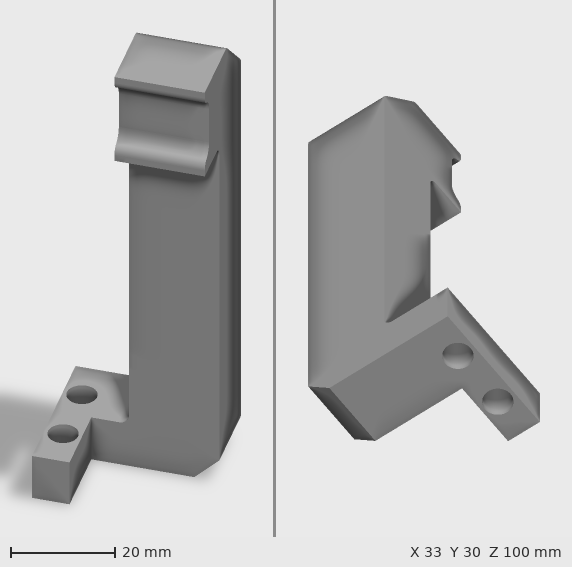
import cadquery as cq
import math

length = 33.0
depth = 30.0
height = 100.0

post_width = 18.0
post_depth = 15.0
post_left = length - post_width
post_front = depth - post_depth
heel_chamfer = 5.0
inner_fillet = 2.0

foot_height = 10.0
leg_width = 7.5
hole_diameter = 6.0
hole_spacing = 13.0

head_height = 20.0
head_depth = 25.0
head_front = depth - head_depth
head_bottom = height - head_height
head_chamfer = 10.0
chamfer_rounding = 2.0

groove_depth = 3.0
groove_flat = 8.0
lip_radius = 2.0
root_radius = 3.0


def post_and_foot():
    """L-shaped plate: upright post with a foot reaching to -X."""
    plate = (
        cq.Workplane("XZ", origin=(0, depth, 0))
        .moveTo(0, 0)
        .lineTo(length - heel_chamfer, 0)
        .lineTo(length, heel_chamfer)
        .lineTo(length, height)
        .lineTo(post_left, height)
        .lineTo(post_left, foot_height)
        .lineTo(0, foot_height)
        .close()
        .extrude(post_depth)
    )
    corner = cq.selectors.NearestToPointSelector((post_left, depth - post_depth / 2, foot_height))
    return plate.edges(corner).fillet(inner_fillet)


def foot_leg():
    """Bar along the -X side that carries both screw holes."""
    return cq.Workplane("XY").box(leg_width, depth, foot_height, centered=False)


def head():
    """Block overhanging the front of the post."""
    return cq.Workplane("XY", origin=(post_left, head_front, head_bottom)).box(
        post_width, head_depth, head_height, centered=False
    )


def groove_cutter():
    """Groove with S-shaped flanks: a rounded lip running tangentially into a rounded root."""
    radius_sum = lip_radius + root_radius
    turn = math.acos(1 - groove_depth / radius_sum)
    middle = head_bottom + head_height / 2
    floor = head_front + groove_depth
    root_start = groove_flat / 2
    lip_end = root_start + radius_sum * math.sin(turn)

    def on_root(side, angle):
        y = floor - root_radius * (1 - math.cos(angle))
        return y, middle + side * (root_start + root_radius * math.sin(angle))

    def on_lip(side, angle):
        y = head_front + lip_radius * (1 - math.cos(angle))
        return y, middle + side * (lip_end - lip_radius * math.sin(angle))

    return (
        cq.Workplane("YZ", origin=(post_left, 0, 0))
        .moveTo(head_front, middle - lip_end)
        .threePointArc(on_lip(-1, turn / 2), on_lip(-1, turn))
        .threePointArc(on_root(-1, turn / 2), on_root(-1, 0))
        .lineTo(*on_root(1, 0))
        .threePointArc(on_root(1, turn / 2), on_root(1, turn))
        .threePointArc(on_lip(1, turn / 2), on_lip(1, 0))
        .close()
        .extrude(post_width)
    )


def edge_along_x(y, z):
    """Select the edge along X that passes closest to the given Y and Z."""
    return cq.selectors.NearestToPointSelector((post_left + post_width / 2, y, z))


body = post_and_foot().union(foot_leg()).union(head()).clean()

body = body.edges(edge_along_x(post_front, head_bottom)).fillet(inner_fillet)

body = body.edges(edge_along_x(depth, height)).chamfer(head_chamfer)
body = body.edges(edge_along_x(depth, height - head_chamfer)).fillet(chamfer_rounding)
body = body.edges(edge_along_x(depth - head_chamfer, height)).fillet(chamfer_rounding)

body = body.cut(groove_cutter())

screw_holes = (
    cq.Workplane("XY", origin=(leg_width / 2, depth / 2, 0))
    .rarray(1, hole_spacing, 1, 2)
    .circle(hole_diameter / 2)
    .extrude(foot_height)
)
result = body.cut(screw_holes)